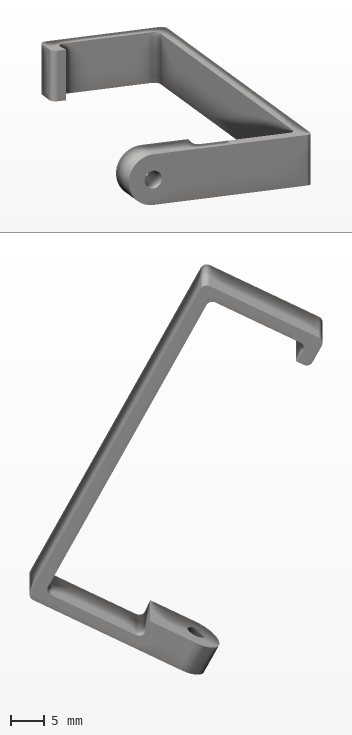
import cadquery as cq
import math

width = 58.0
depth = 30.0
height = 8.0

wall = 2.0
lip_reach = 5.0
hook_thickness = 2.0
pocket_depth = 16.5
lip_slope = math.radians(5.0)
corner_radius = 1.0

pin_diameter = 2.8
lug_radius = height / 2

side_x = width / 2
back_y = depth / 2
front_y = -depth / 2
inner_x = side_x - wall
tip_x = side_x - lip_reach
inner_back_y = back_y - wall
lip_root_y = inner_back_y - pocket_depth
lip_tip_y = lip_root_y + (inner_x - tip_x) * math.tan(lip_slope)
hook_y = lip_root_y - hook_thickness
pin_y = front_y + lug_radius


def make_frame():
    """Sharp-cornered clip with a hook on the -X arm; the +X arm runs to the pin axis."""
    outline = (
        cq.Workplane("XY")
        .workplane(offset=-height / 2)
        .moveTo(-side_x, back_y)
        .lineTo(side_x, back_y)
        .lineTo(side_x, pin_y)
        .lineTo(tip_x, pin_y)
        .lineTo(tip_x, lip_tip_y)
        .lineTo(inner_x, lip_root_y)
        .lineTo(inner_x, inner_back_y)
        .lineTo(-inner_x, inner_back_y)
        .lineTo(-inner_x, lip_root_y)
        .lineTo(-tip_x, lip_tip_y)
        .lineTo(-tip_x, hook_y)
        .lineTo(-side_x, hook_y)
        .close()
    )
    return outline.extrude(height)


def round_corners(frame):
    """Round the back corners, the lip roots and the outer corners of the hook."""
    corners = [
        (-side_x, back_y),
        (side_x, back_y),
        (-inner_x, inner_back_y),
        (inner_x, inner_back_y),
        (-inner_x, lip_root_y),
        (inner_x, lip_root_y),
        (-side_x, hook_y),
        (-tip_x, hook_y),
    ]
    for x, y in corners:
        nearest = cq.selectors.NearestToPointSelector((x, y, 0))
        frame = frame.edges("|Z").edges(nearest).fillet(corner_radius)
    return frame


def lug_cylinder(radius):
    """Cylinder on the pin axis, parallel to X, across the width of the lug."""
    return (
        cq.Workplane("YZ")
        .workplane(offset=tip_x)
        .center(pin_y, 0)
        .circle(radius)
        .extrude(lip_reach)
    )


def add_lug(frame):
    """Close the +X arm with a half-round end and drill the pin hole through it."""
    round_end = lug_cylinder(lug_radius)
    pin_hole = lug_cylinder(pin_diameter / 2)
    return frame.union(round_end).cut(pin_hole)


result = add_lug(round_corners(make_frame()))